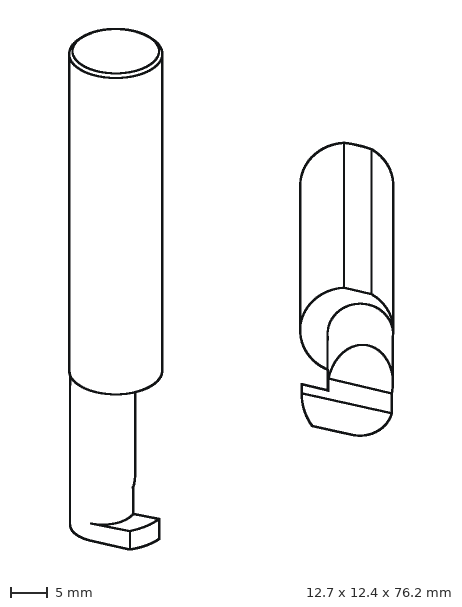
import cadquery as cq
import math

total_length = 76.2
shank_diameter = 12.7
shank_bottom = 25.45
shank_chamfer = 0.45
flat_depth = 0.3

neck_diameter = 8.9

relief_bottom = 7.3
relief_top = 11.3

head_top = 3.2
head_corner_x = 3.7
flank_bulge = 0.4
end_slope_x = 2.0
end_slope_y = 2.0

shank_radius = shank_diameter / 2
clamping_flat_y = shank_radius - flat_depth
neck_radius = neck_diameter / 2
neck_x = neck_radius - shank_radius


def make_shank():
    shank = cq.Workplane("XY").workplane(offset=shank_bottom).circle(shank_radius)
    shank = shank.extrude(total_length - shank_bottom).faces(">Z").chamfer(shank_chamfer)
    flat_cutter = cq.Workplane("XZ", origin=(0, clamping_flat_y, 0))
    flat_cutter = flat_cutter.rect(shank_diameter, 2 * total_length).extrude(-shank_diameter)
    return shank.cut(flat_cutter)


def make_neck():
    return cq.Workplane("XY").center(neck_x, 0).circle(neck_radius).extrude(shank_bottom)


def make_relief():
    """Wedge-ended prism that leaves a flat on y = 0."""
    ramp_slope = (relief_top - relief_bottom) / neck_radius
    outer_z = relief_bottom + ramp_slope * shank_radius
    profile = [(0, 0), (shank_radius, 0), (shank_radius, outer_z), (0, relief_bottom)]
    return cq.Workplane("YZ").polyline(profile).close().extrude(shank_radius, both=True)


def make_head():
    """Tooth with a flat back tangent to the neck and a curved flank up to the tip."""
    chord_x = shank_radius - head_corner_x
    chord = math.hypot(chord_x, neck_radius)
    flank_middle = (
        (shank_radius + head_corner_x) / 2 + flank_bulge * neck_radius / chord,
        -neck_radius / 2 - flank_bulge * chord_x / chord,
    )
    outline = (
        cq.Workplane("XY")
        .moveTo(neck_x, 0)
        .lineTo(neck_x, -neck_radius)
        .lineTo(head_corner_x, -neck_radius)
        .threePointArc(flank_middle, (shank_radius, 0))
        .close()
    )
    return outline.extrude(head_top)


def make_end_clearance():
    """Half-space below the end face, which falls away from the cutting tip at (shank_radius, 0, 0)."""
    rise_x = math.tan(math.radians(end_slope_x))
    rise_y = math.tan(math.radians(end_slope_y))
    end_plane = cq.Plane(
        origin=(shank_radius, 0, 0), xDir=(1, 0, -rise_x), normal=(rise_x, rise_y, 1)
    )
    cutter_size = 4 * shank_diameter
    return cq.Workplane(end_plane).rect(cutter_size, cutter_size).extrude(-shank_diameter)


blade = make_neck().cut(make_relief()).union(make_head()).cut(make_end_clearance())
result = make_shank().union(blade)